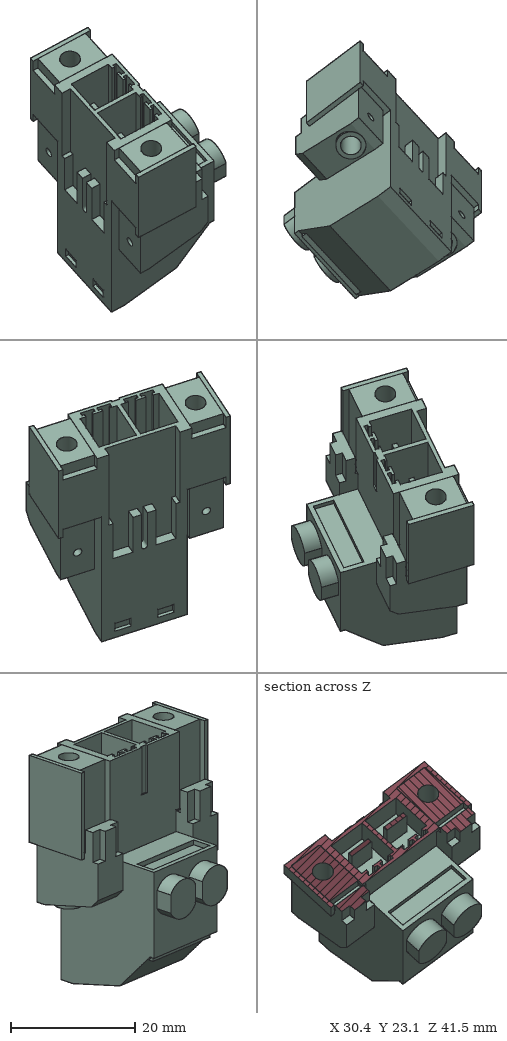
import cadquery as cq
import math


total_width = 30.45
total_depth = 23.1
total_height = 41.45
pitch = total_width / 4
pole_centres = (-pitch / 2, pitch / 2)
flange_offset = 1.5 * pitch

core_width = 2 * pitch
plug_depth = 11.3
core_depth = 20.15
shoulder_z = 24.25
slope_back_y = 19.3
slope_back_z = 9.25
slope_knee_y = 12.75
slope_knee_z = 2.4
slope_front_y = 2.6
steep_slope = (slope_back_z - slope_knee_z) / (slope_back_y - slope_knee_y)

front_recess_depth = 1.6
front_recess_width = 12.55
front_recess_z = 25.7
finger_z = 17.85
finger_gap_width = 3.5
middle_slot_width = 1.05
window_width = 2.9
window_z = 1.45
window_height = 1.75
window_depth = 0.6

seam_notch_width = 1.35
seam_notch_depth = 0.3
seam_notch_z = 33.15
label_width = 13.68
label_front_y = 15.8
label_back_y = 19.27
label_depth = 0.83
lip_z = 8.25

cavity_floor_z = shoulder_z
cavity_outer_wall = 0.62
cavity_half_web = 0.37
cavity_front_y = 2.32
cavity_inner_y = 9.82
cavity_outer_y = 9.57
channel_shoulder_y = 10.1
channel_back_y = 10.7
channel_width = 5.2
channel_neck_width = 4.3
key_stem_width = 0.6
key_head_width = 1.75
key_head_y = 9.65

blade_width = 4.3
blade_thickness = 0.85
blade_y = 5.65
blade_top_z = 35.25
blade_seat_depth = 2.07

flange_width = 6.05
cheek_thickness = (pitch - flange_width) / 2
outer_cheek_z = 26.3
inner_cheek_z = 28.0
front_wall_thickness = 0.95
front_wall_top_z = 39.13

flange_bottom_z = 15.88
flange_depth = 14.2
block_back_y = 10.3
latch_front_y = 11.45
latch_top_z = 31.35
latch_slot_z = 27.3
latch_slot_crest = 0.15
latch_neck_width = 2.6
latch_corner_depth = 1.15
latch_corner_z = 26.15
bore_y = 5.15
bore_diameter = 3.3
boss_diameter = 4.85
cross_hole_z = 20.8
cross_hole_diameter = 1.5

screw_diameter = 6.8
screw_flat_width = 6.0
screw_z = 19.27


def box(x_range, y_range, z_range):
    """A box given by its two limits along each axis."""
    (x0, x1), (y0, y1), (z0, z1) = x_range, y_range, z_range
    return cq.Workplane("XY").box(x1 - x0, y1 - y0, z1 - z0, centered=False).translate((x0, y0, z0))


def centred_box(x, width, y_range, z_range):
    """A box centred on x."""
    return box((x - width / 2, x + width / 2), y_range, z_range)


def side_prism(points, x, width):
    """A (Y, Z) outline extruded along X, centred on x."""
    return cq.Workplane("YZ").polyline(points).close().extrude(width / 2, both=True).translate((x, 0, 0))


def housing_core():
    profile = [
        (0, 0),
        (slope_front_y, 0),
        (slope_knee_y, slope_knee_z),
        (slope_back_y, slope_back_z),
        (core_depth, slope_back_z),
        (core_depth, shoulder_z),
        (plug_depth, shoulder_z),
        (plug_depth, total_height),
        (0, total_height),
    ]
    return side_prism(profile, 0, core_width)


def bottom_lip():
    """A small lip under the steep slope, in line with the back of the label recess."""
    slope_z = slope_back_z - steep_slope * (slope_back_y - label_back_y)
    lip_front_y = slope_back_y - (slope_back_z - lip_z) / steep_slope
    return side_prism([(label_back_y, slope_z), (label_back_y, lip_z), (lip_front_y, lip_z)], 0, label_width)


def flange_frame(side):
    """Two cheeks joined by a front wall, open at the back; side is -1 or 1."""
    centre = side * flange_offset
    cheek_offset = (pitch - cheek_thickness) / 2
    cheek_y = (0, plug_depth)
    outer = centred_box(centre + side * cheek_offset, cheek_thickness, cheek_y, (outer_cheek_z, total_height))
    inner = centred_box(centre - side * cheek_offset, cheek_thickness, cheek_y, (inner_cheek_z, total_height))
    wall = centred_box(centre, flange_width, (0, front_wall_thickness), (inner_cheek_z, front_wall_top_z))
    return outer.union(inner).union(wall)


def front_recesses():
    """A wide recess that ends in fingers, and two windows near the bottom."""
    depth = (0, front_recess_depth)
    cut = centred_box(0, front_recess_width, depth, (front_recess_z, total_height))
    radius = middle_slot_width / 2
    slot_z = finger_z + radius
    cut = cut.union(centred_box(0, middle_slot_width, depth, (slot_z, front_recess_z)))
    slot_end = cq.Workplane("XZ").center(0, slot_z).circle(radius).extrude(-front_recess_depth)
    cut = cut.union(slot_end)
    for x in pole_centres:
        cut = cut.union(centred_box(x, finger_gap_width, depth, (finger_z, front_recess_z)))
        cut = cut.union(centred_box(x, window_width, (0, window_depth), (window_z, window_z + window_height)))
    return cut


def plug_cavity(side):
    """Cavity of one pole with a keyed channel at its back; side is -1 or 1."""
    centre = side * pitch / 2
    inner_x = side * cavity_half_web
    outer_x = side * (core_width / 2 - cavity_outer_wall)
    z_range = (cavity_floor_z, total_height)
    neck_inner_x = centre - side * channel_neck_width / 2
    neck_outer_x = centre + side * channel_neck_width / 2
    channel_inner_x = centre - side * channel_width / 2
    channel_outer_x = centre + side * channel_width / 2
    outline = [
        (inner_x, cavity_front_y),
        (inner_x, cavity_inner_y),
        (neck_inner_x, cavity_inner_y),
        (neck_inner_x, channel_shoulder_y),
        (channel_inner_x, channel_shoulder_y),
        (channel_inner_x, channel_back_y),
        (channel_outer_x, channel_back_y),
        (channel_outer_x, channel_shoulder_y),
        (neck_outer_x, channel_shoulder_y),
        (neck_outer_x, cavity_outer_y),
        (outer_x, cavity_outer_y),
        (outer_x, cavity_front_y),
    ]
    cavity = cq.Workplane("XY").polyline(outline).close().extrude(total_height - cavity_floor_z)
    cavity = cavity.translate((0, 0, cavity_floor_z))
    key_stem = centred_box(centre, key_stem_width, (channel_shoulder_y, channel_back_y), z_range)
    key_head = centred_box(centre, key_head_width, (key_head_y, channel_shoulder_y), z_range)
    return cavity.cut(key_stem.union(key_head))


def make_housing():
    housing = housing_core().union(bottom_lip())
    for side in (-1, 1):
        housing = housing.union(flange_frame(side))
    housing = housing.cut(front_recesses())
    notch_y = (plug_depth - seam_notch_depth, plug_depth)
    housing = housing.cut(centred_box(0, seam_notch_width, notch_y, (seam_notch_z, total_height)))
    label_z = (shoulder_z - label_depth, shoulder_z)
    housing = housing.cut(centred_box(0, label_width, (label_front_y, label_back_y), label_z))
    for side in (-1, 1):
        housing = housing.cut(plug_cavity(side))
    for x in pole_centres:
        housing = housing.cut(make_blade(x))
    return housing


def make_blade(x):
    y_range = (blade_y - blade_thickness / 2, blade_y + blade_thickness / 2)
    return centred_box(x, blade_width, y_range, (cavity_floor_z - blade_seat_depth, blade_top_z))


def make_screw_flange(x):
    """Block with a latch arm at its back; its underside runs parallel to that of the housing."""
    knee_z = flange_bottom_z + slope_knee_z
    profile = [
        (front_wall_thickness, flange_bottom_z),
        (slope_front_y, flange_bottom_z),
        (slope_knee_y, knee_z),
        (flange_depth, knee_z + steep_slope * (flange_depth - slope_knee_y)),
        (flange_depth, latch_top_z),
        (latch_front_y, latch_top_z),
        (latch_front_y, latch_slot_z),
        ((block_back_y + latch_front_y) / 2, latch_slot_z + latch_slot_crest),
        (block_back_y, latch_slot_z),
        (block_back_y, total_height),
        (front_wall_thickness, total_height),
    ]
    flange = side_prism(profile, x, flange_width)

    boss = cq.Workplane("XY").center(x, bore_y).circle(boss_diameter / 2).extrude(knee_z - flange_bottom_z)
    flange = flange.union(boss.translate((0, 0, flange_bottom_z)))
    bore = cq.Workplane("XY").center(x, bore_y).circle(bore_diameter / 2).extrude(total_height)
    cross_hole = cq.Workplane("XZ").center(x, cross_hole_z).circle(cross_hole_diameter / 2).extrude(-bore_y)
    flange = flange.cut(bore).cut(cross_hole)

    corner_width = (flange_width - latch_neck_width) / 2
    for side in (-1, 1):
        corner_x = x + side * (flange_width - corner_width) / 2
        corner_y = (flange_depth - latch_corner_depth, flange_depth)
        flange = flange.cut(centred_box(corner_x, corner_width, corner_y, (latch_corner_z, latch_top_z)))
    return flange


def make_screw(x):
    """Round head with two flats, standing on the back of the housing."""
    radius = screw_diameter / 2
    half_flat = screw_flat_width / 2
    flat_z = math.sqrt(radius**2 - half_flat**2)
    outline = (
        cq.Workplane("XZ")
        .moveTo(-half_flat, -flat_z)
        .lineTo(-half_flat, flat_z)
        .threePointArc((0, radius), (half_flat, flat_z))
        .lineTo(half_flat, -flat_z)
        .threePointArc((0, -radius), (-half_flat, -flat_z))
        .close()
    )
    return outline.extrude(core_depth - total_depth).translate((x, core_depth, screw_z))


housing = make_housing()
blades = [make_blade(x) for x in pole_centres]
screw_flanges = [make_screw_flange(x) for x in (-flange_offset, flange_offset)]
screws = [make_screw(x) for x in pole_centres]

bodies = [housing, *blades, *screw_flanges, *screws]
result = cq.Compound.makeCompound([body.val() for body in bodies])